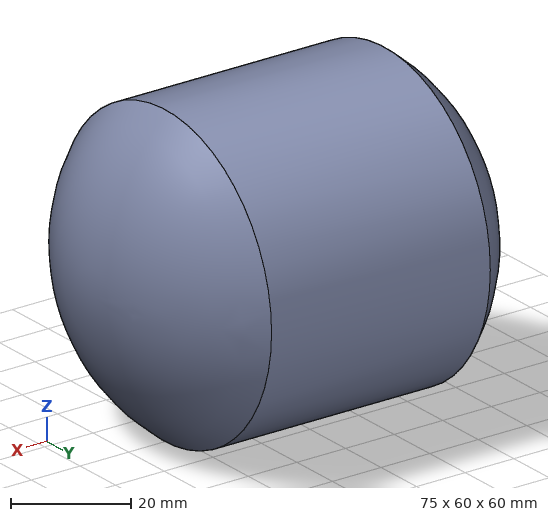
import cadquery as cq
import math

overall_length = 75.0
barrel_diameter = 60.0

dome_radius = overall_length / 2
barrel_radius = barrel_diameter / 2
barrel_half_length = math.sqrt(dome_radius**2 - barrel_radius**2)

half_arc_angle = math.atan2(barrel_radius, barrel_half_length) / 2
arc_mid_x = dome_radius * math.cos(half_arc_angle)
arc_mid_y = dome_radius * math.sin(half_arc_angle)

half_section = (
    cq.Workplane("XY")
    .moveTo(-dome_radius, 0)
    .threePointArc((-arc_mid_x, arc_mid_y), (-barrel_half_length, barrel_radius))
    .lineTo(barrel_half_length, barrel_radius)
    .threePointArc((arc_mid_x, arc_mid_y), (dome_radius, 0))
    .close()
)

result = half_section.revolve(360, (0, 0, 0), (1, 0, 0))